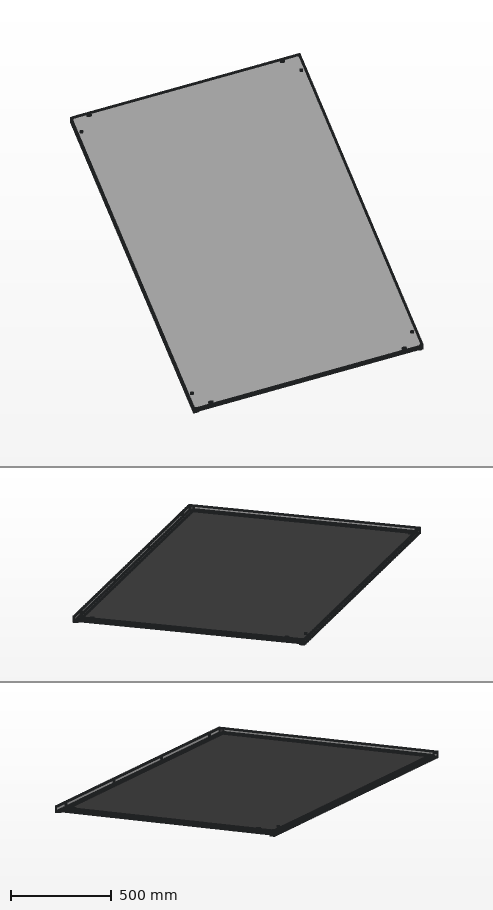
import cadquery as cq

length = 1885.0
width = 1200.0
height = 26.0
sheet = 1.5

side_lip_width = 20.0

end_flange_height = 20.0
end_lip_width = 28.0
end_flange_setback = 23.0

notch_length = 5.0
notch_width = 8.0

face_hole_diameter = 8.0
face_hole_from_end = 96.0
face_hole_from_side = 23.0

slot_length = 15.0
slot_width = 13.0
slot_from_side = 92.0

wall_hole_diameter = 8.0
wall_hole_count = 4
wall_hole_pitch = 550.0

face_underside = height - sheet


def block(x_size, y_size, z_size, x, y, z):
    """Box centred on x and y with its underside at z."""
    box = cq.Workplane("XY").box(x_size, y_size, z_size, centered=(True, True, False))
    return box.translate((x, y, z))


def long_side(side):
    """Side wall with its inward lip along one long edge."""
    wall = block(length, sheet, height, 0, side * (width - sheet) / 2, 0)
    lip = block(length, side_lip_width, sheet, 0, side * (width - side_lip_width) / 2, 0)
    return wall.union(lip)


def short_end(side):
    """End flange with its inward lip, held clear of the long side lips."""
    flange_length = width - 2 * end_flange_setback
    bottom = height - end_flange_height
    flange = block(sheet, flange_length, end_flange_height, side * (length - sheet) / 2, 0, bottom)
    lip = block(end_lip_width, flange_length, sheet, side * (length - end_lip_width) / 2, 0, bottom)
    return flange.union(lip)


def face_corners(from_end, from_side, z):
    """Four points at height z, one near each corner of the face."""
    return (
        cq.Workplane("XY")
        .workplane(offset=z)
        .rect(length - 2 * from_end, width - 2 * from_side, forConstruction=True)
        .vertices()
    )


def face_holes():
    points = face_corners(face_hole_from_end, face_hole_from_side, face_underside)
    return points.circle(face_hole_diameter / 2).extrude(sheet)


def end_slots():
    points = face_corners(sheet + slot_length / 2, slot_from_side, face_underside)
    return points.rect(slot_length, slot_width).extrude(sheet)


def corner_notches():
    """Notches just inside the side walls, cut through face and lips alike."""
    points = face_corners(notch_length / 2, sheet + notch_width / 2, 0)
    return points.rect(notch_length, notch_width).extrude(height)


def wall_holes():
    """Row of holes passing through both long side walls."""
    return (
        cq.Workplane("XZ")
        .center(0, height / 2)
        .rarray(wall_hole_pitch, 19, wall_hole_count, 1)
        .circle(wall_hole_diameter / 2)
        .extrude(width / 2, both=True)
    )


result = block(length, width, sheet, 0, 0, face_underside)
for side in (-1, 1):
    result = result.union(long_side(side)).union(short_end(side))
for cutter in (face_holes(), end_slots(), corner_notches(), wall_holes()):
    result = result.cut(cutter)